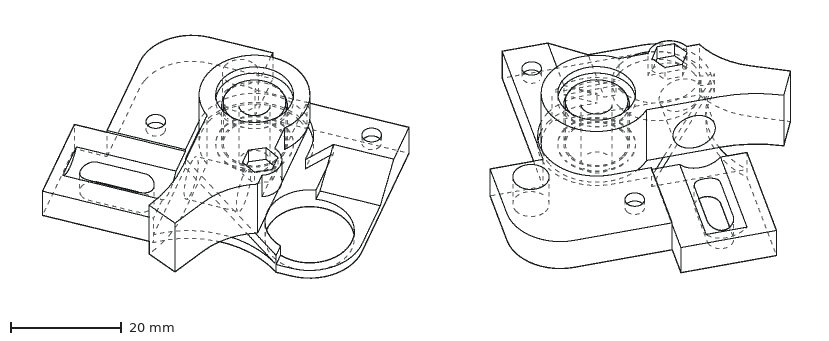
import cadquery as cq
import math


RIM_Z = 2.0
RECESS_Z = 4.4
LEVER_BOTTOM_Z = 4.6
BLOCK_Z = 6.3
PLATE_Z = 6.75
PIVOT_TOP_Z = 15.3
TOP_Z = 17.25

LEFT_X = -25.7
RIGHT_X = 25.8
BACK_Y = 20.9
FRONT_Y = -25.35
CORNER_RADIUS = 10.0
NOTCH_X = -3.65
NOTCH_Y = 10.95
BLOCK_LEFT_X = -31.9
BLOCK_BACK_Y = -7.45

RING_OUTER_RADIUS = 10.05
RING_HOLE_DIAMETER = 16.15
RING_X = RIGHT_X - RING_OUTER_RADIUS
RING_Y = FRONT_Y + RING_OUTER_RADIUS

RECESS_RADIUS = 10.7
MOUTH_RIGHT_X = 12.75
MOUTH_MIDDLE_X = (MOUTH_RIGHT_X - RECESS_RADIUS) / 2
MOUTH_ARC_HEIGHT = 4.05
MOUTH_ARC_Y = FRONT_Y + MOUTH_ARC_HEIGHT
RECESS_CORNER_Y = -2.9
RAMP_LEFT_X = 14.25
RAMP_BACK_Y = 2.4
RAMP_FRONT_Y = -5.15

LARGE_HOLE_AT = (-7.55, 14.25)
LARGE_HOLE_DIAMETER = 6.6
PIN_HOLES_AT = [(-18.05, -2.4), (20.05, 6.9)]
PIN_HOLE_DIAMETER = 3.5
PIN_HOLE_DEPTH = 2.0

SPRING_Y = -16.55
SPRING_Z = 9.65
GROOVE_LEFT_X = -29.75
GROOVE_DIAMETER = 10.15
SPRING_BORE_DIAMETER = 7.9
SPRING_BORE_DEPTH = 10.0
SLOT_LENGTH = 13.95
SLOT_WIDTH = 4.85
SLOT_X = -20.65

HUB_RADIUS = 10.05
LEVER_LEFT_X = -6.45
LEVER_RIGHT_X = 7.85
TAIL_Y = -21.25
TAIL_RADIUS = 26.75
TAIL_ANGLE = math.radians(25.3)
TIP_WIDTH = 6.5
TIP_EDGE_LENGTH = 7.5
LUG_X = 6.3
LUG_RADIUS = 3.9
LUG_BOTTOM_Z = 11.7
HEX_ACROSS_CORNERS = 6.5
HEX_DEPTH = 3.0

PIVOT_DIAMETER = 11.3
HUB_BORE_DIAMETER = 11.9
COUNTERBORE_DIAMETER = 14.1
COUNTERBORE_DEPTH = 1.6
PIVOT_HOLE_DIAMETER = 5.6
PIVOT_HOLE_FILLET = 1.0

OVERLAP = 0.6


def level(z):
    return cq.Workplane("XY").workplane(offset=z)


def cut_above(z, outline):
    """Solid above height z, from a closed list of points, for clearing a floor."""
    return level(z).polyline(outline).close().extrude(PLATE_Z - z + OVERLAP)


def cylinder(diameter, bottom_z, top_z, at=(0, 0)):
    return level(bottom_z).center(*at).circle(diameter / 2).extrude(top_z - bottom_z)


def spring_cylinder(diameter, start_x, end_x):
    plane = cq.Workplane("YZ", origin=(start_x, SPRING_Y, SPRING_Z))
    return plane.circle(diameter / 2).extrude(end_x - start_x)


def make_plate_blank():
    diagonal = math.sqrt(0.5)
    corner_x = LEFT_X + CORNER_RADIUS
    corner_y = BACK_Y - CORNER_RADIUS
    corner_mid = (corner_x - CORNER_RADIUS * diagonal, corner_y + CORNER_RADIUS * diagonal)
    ring_mid = (RING_X + RING_OUTER_RADIUS * diagonal, RING_Y - RING_OUTER_RADIUS * diagonal)
    return (
        cq.Workplane("XY")
        .moveTo(corner_x, BACK_Y)
        .lineTo(NOTCH_X, BACK_Y)
        .lineTo(NOTCH_X, NOTCH_Y)
        .lineTo(RIGHT_X, NOTCH_Y)
        .lineTo(RIGHT_X, RING_Y)
        .threePointArc(ring_mid, (RING_X, FRONT_Y))
        .lineTo(MOUTH_RIGHT_X, FRONT_Y)
        .threePointArc((MOUTH_MIDDLE_X, MOUTH_ARC_Y), (-RECESS_RADIUS, FRONT_Y))
        .lineTo(BLOCK_LEFT_X, FRONT_Y)
        .lineTo(BLOCK_LEFT_X, BLOCK_BACK_Y)
        .lineTo(LEFT_X, BLOCK_BACK_Y)
        .lineTo(LEFT_X, corner_y)
        .threePointArc(corner_mid, (corner_x, BACK_Y))
        .close()
        .extrude(PLATE_Z)
    )


def make_block_step():
    return cut_above(BLOCK_Z, [
        (BLOCK_LEFT_X, BLOCK_BACK_Y),
        (-RECESS_RADIUS, BLOCK_BACK_Y),
        (-RECESS_RADIUS, FRONT_Y),
        (BLOCK_LEFT_X, FRONT_Y),
    ])


def make_lever_recess():
    """Round pocket around the hub, open to the front over the lever's swing."""
    pocket = cylinder(2 * RECESS_RADIUS, RECESS_Z, PLATE_Z + OVERLAP)
    swing = cut_above(RECESS_Z, [
        (-RECESS_RADIUS, 0),
        (RECESS_RADIUS, 0),
        (RECESS_RADIUS, RECESS_CORNER_Y),
        (RAMP_LEFT_X, RAMP_BACK_Y),
        (RAMP_LEFT_X, FRONT_Y),
        (-RECESS_RADIUS, FRONT_Y),
    ])
    slanted_step = cut_above(RIM_Z, [
        (-RECESS_RADIUS, BLOCK_BACK_Y),
        (MOUTH_RIGHT_X, FRONT_Y),
        (-RECESS_RADIUS, FRONT_Y),
    ])
    return pocket.union(swing).union(slanted_step)


def make_ring_clearance():
    """Space above the thin ring, with the ramp leading up to the plate behind it."""
    behind = (
        cq.Workplane("YZ", origin=(RAMP_LEFT_X, 0, 0))
        .moveTo(RAMP_BACK_Y, PLATE_Z)
        .lineTo(RAMP_FRONT_Y, RIM_Z)
        .lineTo(FRONT_Y, RIM_Z)
        .lineTo(FRONT_Y, PLATE_Z)
        .close()
        .extrude(RIGHT_X - RAMP_LEFT_X)
    )
    front = cut_above(RIM_Z, [
        (MOUTH_RIGHT_X, RING_Y),
        (RIGHT_X, RING_Y),
        (RIGHT_X, FRONT_Y),
        (MOUTH_RIGHT_X, FRONT_Y),
    ])
    return behind.union(front)


def make_plate():
    plate = make_plate_blank().cut(make_block_step()).cut(make_lever_recess()).cut(make_ring_clearance())
    plate = plate.cut(cylinder(RING_HOLE_DIAMETER, 0, PLATE_Z, (RING_X, RING_Y)))
    plate = plate.cut(cylinder(LARGE_HOLE_DIAMETER, 0, PLATE_Z, LARGE_HOLE_AT))
    for place in PIN_HOLES_AT:
        plate = plate.cut(cylinder(PIN_HOLE_DIAMETER, PLATE_Z - PIN_HOLE_DEPTH, PLATE_Z, place))
    slot = cq.Workplane("XY").center(SLOT_X, SPRING_Y).slot2D(SLOT_LENGTH, SLOT_WIDTH).extrude(PLATE_Z)
    groove = spring_cylinder(GROOVE_DIAMETER, GROOVE_LEFT_X, -RECESS_RADIUS)
    return plate.cut(slot).cut(groove)


def make_lever_body():
    """Hub with an arm that curves towards the tip."""
    left_y = -math.sqrt(HUB_RADIUS ** 2 - LEVER_LEFT_X ** 2)
    right_y = -math.sqrt(HUB_RADIUS ** 2 - LEVER_RIGHT_X ** 2)

    def tail_point(angle):
        x = LEVER_LEFT_X - TAIL_RADIUS * (1 - math.cos(angle))
        return x, TAIL_Y - TAIL_RADIUS * math.sin(angle)

    across = (math.cos(TAIL_ANGLE), -math.sin(TAIL_ANGLE))
    along = (math.sin(TAIL_ANGLE), math.cos(TAIL_ANGLE))
    tip_left = tail_point(TAIL_ANGLE)
    tip_right = (tip_left[0] + TIP_WIDTH * across[0], tip_left[1] + TIP_WIDTH * across[1])
    edge_end = (tip_right[0] + TIP_EDGE_LENGTH * along[0], tip_right[1] + TIP_EDGE_LENGTH * along[1])
    return (
        level(LEVER_BOTTOM_Z)
        .moveTo(LEVER_RIGHT_X, right_y)
        .threePointArc((0, HUB_RADIUS), (LEVER_LEFT_X, left_y))
        .lineTo(LEVER_LEFT_X, TAIL_Y)
        .threePointArc(tail_point(TAIL_ANGLE / 2), tip_left)
        .lineTo(*tip_right)
        .lineTo(*edge_end)
        .tangentArcPoint((LEVER_RIGHT_X, TAIL_Y), relative=False)
        .close()
        .extrude(TOP_Z - LEVER_BOTTOM_Z)
    )


def make_hub_flat():
    """Trims the lower part of the hub flush with the arm's right side."""
    return (
        level(LEVER_BOTTOM_Z)
        .moveTo(LEVER_RIGHT_X, -HUB_RADIUS)
        .rect(HUB_RADIUS, 2 * HUB_RADIUS, centered=False)
        .extrude(LUG_BOTTOM_Z - LEVER_BOTTOM_Z)
    )


def make_hub_bore():
    """Stepped bore: a counterbore, a 45 degree cone and the clearance around the pivot."""
    bore_radius = HUB_BORE_DIAMETER / 2
    counterbore_radius = COUNTERBORE_DIAMETER / 2
    counterbore_z = TOP_Z - COUNTERBORE_DEPTH
    cone_bottom_z = counterbore_z - (counterbore_radius - bore_radius)
    return (
        cq.Workplane("XZ")
        .moveTo(0, LEVER_BOTTOM_Z)
        .lineTo(bore_radius, LEVER_BOTTOM_Z)
        .lineTo(bore_radius, cone_bottom_z)
        .lineTo(counterbore_radius, counterbore_z)
        .lineTo(counterbore_radius, TOP_Z)
        .lineTo(0, TOP_Z)
        .close()
        .revolve(360, (0, 0, 0), (0, 1, 0))
    )


def make_lever():
    lug_at = (LUG_X, RING_Y)
    lever = make_lever_body().union(cylinder(2 * LUG_RADIUS, LUG_BOTTOM_Z, TOP_Z, lug_at))
    hexagon = (
        level(TOP_Z - HEX_DEPTH)
        .center(*lug_at)
        .transformed(rotate=(0, 0, 90))
        .polygon(6, HEX_ACROSS_CORNERS)
        .extrude(HEX_DEPTH)
    )
    spring_bore = spring_cylinder(SPRING_BORE_DIAMETER, LEVER_LEFT_X, LEVER_LEFT_X + SPRING_BORE_DEPTH)
    return lever.cut(make_hub_flat()).cut(make_hub_bore()).cut(hexagon).cut(spring_bore)


def make_pivot_hole():
    """Through hole with a rounded entry."""
    hole = cylinder(PIVOT_HOLE_DIAMETER, 0, PIVOT_TOP_Z)
    radius = PIVOT_HOLE_DIAMETER / 2
    round_start_z = PIVOT_TOP_Z - PIVOT_HOLE_FILLET
    reach = PIVOT_HOLE_FILLET * math.sqrt(0.5)
    round_mid = (radius + PIVOT_HOLE_FILLET - reach, round_start_z + reach)
    entry = (
        cq.Workplane("XZ")
        .moveTo(0, round_start_z)
        .lineTo(radius, round_start_z)
        .threePointArc(round_mid, (radius + PIVOT_HOLE_FILLET, PIVOT_TOP_Z))
        .lineTo(0, PIVOT_TOP_Z)
        .close()
        .revolve(360, (0, 0, 0), (0, 1, 0))
    )
    return hole.union(entry)


pivot = cylinder(PIVOT_DIAMETER, RECESS_Z, PIVOT_TOP_Z)
washer = cylinder(COUNTERBORE_DIAMETER, RECESS_Z, LEVER_BOTTOM_Z)

result = make_plate().union(washer).union(pivot).union(make_lever()).cut(make_pivot_hole())